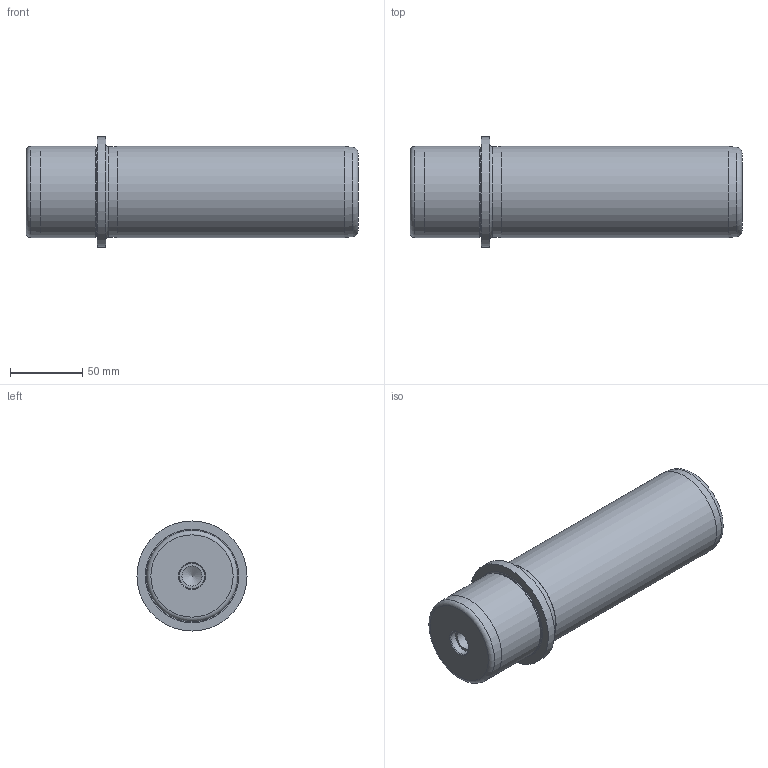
import cadquery as cq
import math

total_length = 229.0
body_diameter = 63.0
spigot_length = 49.0

flange_diameter = 76.0
flange_thickness = 6.0

neck_depth = 0.3
neck_length = 8.0
neck_fillet = 2.0

relief_depth = 0.5
relief_length = 1.3
relief_face_depth = 0.2
relief_face_height = 0.7

spigot_round = 3.0
spigot_lead_length = 10.0
spigot_lead_drop = 0.1

shank_round = 4.0
shank_lead_length = 9.5
shank_lead_drop = 0.7

recess_diameter = 17.5
recess_depth = 5.0
recess_chamfer = 0.6
core_diameter = 13.8
core_depth = 36.0
drill_tip_angle = 118.0

body_radius = body_diameter / 2
flange_radius = flange_diameter / 2
neck_radius = body_radius - neck_depth
flange_end = spigot_length + flange_thickness
neck_end = flange_end + neck_length
shank_lead_start = total_length - shank_lead_length
spigot_tip_radius = body_radius - spigot_lead_drop
shank_tip_radius = body_radius - shank_lead_drop


def make_pin():
    """Revolve the outer profile (axial position, radius) about the X axis."""
    diagonal = math.sqrt(0.5)
    arc_drop = 1 - diagonal
    profile = (
        cq.Workplane("XZ")
        .moveTo(0, 0)
        .lineTo(0, spigot_tip_radius - spigot_round)
        .threePointArc(
            (spigot_round * arc_drop, spigot_tip_radius - spigot_round * arc_drop),
            (spigot_round, spigot_tip_radius),
        )
        .lineTo(spigot_lead_length, body_radius)
        .lineTo(spigot_length - relief_length, body_radius)
        .lineTo(spigot_length - relief_length / 2, body_radius - relief_depth)
        .lineTo(spigot_length + relief_face_depth, body_radius - relief_depth)
        .lineTo(spigot_length, body_radius + relief_face_height)
        .lineTo(spigot_length, flange_radius)
        .lineTo(flange_end, flange_radius)
        .lineTo(flange_end, neck_radius + neck_fillet)
        .threePointArc(
            (flange_end + neck_fillet * arc_drop, neck_radius + neck_fillet * arc_drop),
            (flange_end + neck_fillet, neck_radius),
        )
        .lineTo(neck_end, neck_radius)
        .lineTo(neck_end, body_radius)
        .lineTo(shank_lead_start, body_radius)
        .lineTo(total_length - shank_round, shank_tip_radius)
        .threePointArc(
            (total_length - shank_round * arc_drop, shank_tip_radius - shank_round * arc_drop),
            (total_length, shank_tip_radius - shank_round),
        )
        .lineTo(total_length, 0)
        .close()
    )
    return profile.revolve(360, (0, 0, 0), (1, 0, 0))


def make_end_hole():
    """Recessed blind hole with a conical drill tip, as a solid to cut away."""
    recess_radius = recess_diameter / 2
    core_radius = core_diameter / 2
    tip_length = core_radius / math.tan(math.radians(drill_tip_angle / 2))
    profile = (
        cq.Workplane("XZ")
        .moveTo(0, 0)
        .lineTo(0, recess_radius + recess_chamfer)
        .lineTo(recess_chamfer, recess_radius)
        .lineTo(recess_depth, recess_radius)
        .lineTo(recess_depth, core_radius)
        .lineTo(core_depth, core_radius)
        .lineTo(core_depth + tip_length, 0)
        .close()
    )
    return profile.revolve(360, (0, 0, 0), (1, 0, 0))


result = make_pin().cut(make_end_hole())